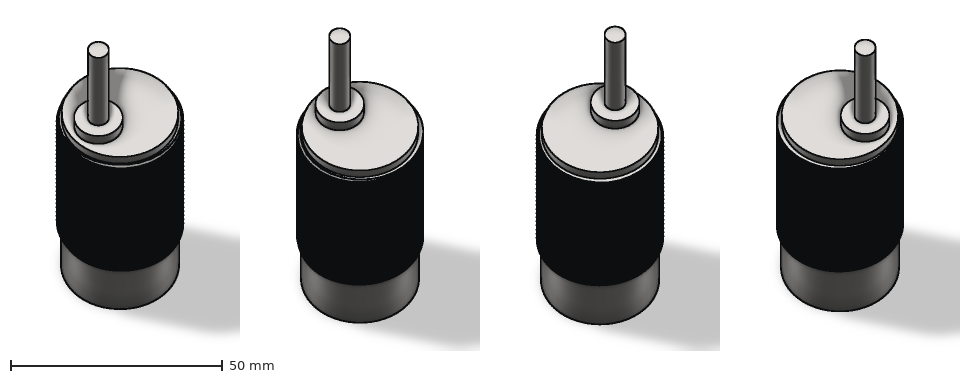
import cadquery as cq
import math

TOTAL_HEIGHT = 83.2
THREAD_BOTTOM = 15.0
THREAD_TOP = 53.05
CAP_TOP = 55.5
BOSS_TOP = 58.4

BASE_DIAMETER = 28.0
THREAD_DIAMETER = 30.0
CAP_DIAMETER = 27.5
BOSS_DIAMETER = 11.5
CABLE_DIAMETER = 5.0

CABLE_X = -0.3
CABLE_Y = -6.5

THREAD_TURNS = 25.4
THREAD_DEPTH = 0.9
PITCH = (THREAD_TOP - THREAD_BOTTOM) / THREAD_TURNS
FULL_TURN = 360
SPIRAL_STEPS = 8


def cylinder(diameter, bottom, top, x=0, y=0):
    """Upright cylinder between two heights."""
    disc = cq.Workplane("XY", origin=(x, y, bottom)).circle(diameter / 2)
    return disc.extrude(top - bottom)


def spiral_point(turn):
    """Point on the thread's level section; the radius falls evenly from the crest to the root."""
    radius = THREAD_DIAMETER / 2 - THREAD_DEPTH * 2 * min(turn, 1 - turn)
    angle = 2 * math.pi * turn
    return (radius * math.cos(angle), radius * math.sin(angle))


def thread_slice(bottom, turns):
    """Length of V thread made by twisting its level section, with the crest starting on +X."""
    crest_to_root = [spiral_point(0.5 * i / SPIRAL_STEPS) for i in range(SPIRAL_STEPS + 1)]
    root_to_crest = [(x, -y) for x, y in reversed(crest_to_root)]
    section = (
        cq.Workplane("XY", origin=(0, 0, bottom))
        .moveTo(*crest_to_root[0])
        .spline(crest_to_root[1:], includeCurrent=True)
        .spline(root_to_crest[1:], includeCurrent=True)
        .close()
    )
    return section.twistExtrude(turns * PITCH, turns * FULL_TURN)


def threaded_barrel():
    """Whole turns stacked up, then the part turn that reaches the cap, as one solid."""
    whole_turns = math.floor(THREAD_TURNS)
    slices = [thread_slice(THREAD_BOTTOM + i * PITCH, 1) for i in range(whole_turns)]
    slices.append(thread_slice(THREAD_BOTTOM + whole_turns * PITCH, THREAD_TURNS - whole_turns))

    skin = [slices[0].faces("<Z").val(), slices[-1].faces(">Z").val()]
    for turn in slices:
        skin += turn.faces("not(<Z or >Z)").vals()
    return cq.Workplane(obj=cq.Solid.makeSolid(cq.Shell.makeShell(skin)))


barrel = threaded_barrel()
base = cylinder(BASE_DIAMETER, 0, THREAD_BOTTOM)
cap = cylinder(CAP_DIAMETER, THREAD_TOP, CAP_TOP)
boss = cylinder(BOSS_DIAMETER, CAP_TOP, BOSS_TOP, CABLE_X, CABLE_Y)
cable = cylinder(CABLE_DIAMETER, BOSS_TOP, TOTAL_HEIGHT, CABLE_X, CABLE_Y)

result = base.union(barrel).union(cap).union(boss).union(cable)